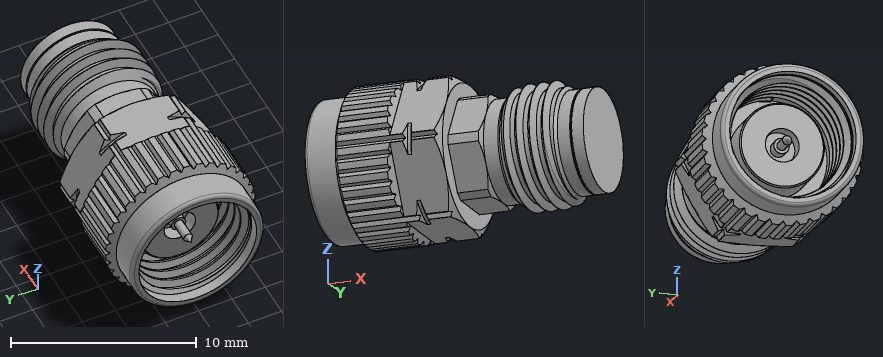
import cadquery as cq
import math


SLEEVE_RADIUS = 4.0
SLEEVE_LENGTH = 1.83
SLEEVE_EDGE_FILLET = 0.2
NUT_RADIUS = 4.5
NUT_LENGTH = 8.06
CHAMFER_DEPTH = 0.5
CHAMFER_ANGLE = 30
CHAMFER_LENGTH = CHAMFER_DEPTH * math.tan(math.radians(CHAMFER_ANGLE))
KNURL_END = 5.2
NUT_FLATS = 2 * SLEEVE_RADIUS
HEX_SIDES = 6
NOTCH_COUNT = 36
NOTCH_DEPTH = 0.2
RING_GROOVE_X = 6.2
RING_GROOVE_DEPTH = 0.3
RING_GROOVE_FLOOR = 0.2
RING_GROOVE_ANGLE = 30
RING_GROOVE_SPREAD = RING_GROOVE_DEPTH * math.tan(math.radians(RING_GROOVE_ANGLE))
RING_GROOVE_MOUTH = RING_GROOVE_FLOOR + 2 * RING_GROOVE_SPREAD

BORE_RADIUS = 3.53
BORE_DEPTH = 0.6
INNER_MINOR_RADIUS = 3.14
INNER_MAJOR_RADIUS = 3.5
INNER_PITCH = 0.735
INNER_THREAD_START = 0.61
CAVITY_DEPTH = 4.6
INNER_GROOVE_WIDTH = 0.62

PLUG_RADIUS = 2.37
PLUG_EDGE_CHAMFER = 0.08
PLUG_FACE_X = 2.2
RECESS_RADIUS = 0.94
RECESS_DEPTH = 0.9
CONTACT_RADIUS = 0.43
CONTACT_FACE_X = 2.35
PIN_RADIUS = 0.26
PIN_TIP_X = 0.8
PIN_TIP_LENGTH = 0.4

BODY_RADIUS = 2.9
TOTAL_LENGTH = 15.8
BODY_HEX_RADIUS = 3.2
BODY_HEX_FLATS = 2 * BODY_RADIUS
BODY_HEX_END = 10.0
BODY_HEX_CHAMFER_DEPTH = BODY_HEX_RADIUS - BODY_RADIUS
BODY_HEX_CHAMFER_LENGTH = BODY_HEX_CHAMFER_DEPTH * math.tan(math.radians(CHAMFER_ANGLE))
LINE_GROOVE_X = 15.06
LINE_GROOVE_WIDTH = 0.1
LINE_GROOVE_DEPTH = 0.1

PITCH = 0.77
THREAD_START = 10.83
THREAD_END = 14.29
THREAD_MAJOR_RADIUS = 3.5
THREAD_ROOT_RADIUS = 3.07
THREAD_ROOT_WIDTH = 0.5
THREAD_CREST_WIDTH = 0.02
THREAD_CREST_X = 11.93
FLANK_ANGLE = 30
OVERLAP = 0.05


def revolved(points):
    """Turn a closed (x, radius) outline about the X axis."""
    return cq.Workplane("XY").polyline(points).close().revolve(360, (0, 0, 0), (1, 0, 0))


def cylinder(radius, start, end):
    return cq.Workplane("YZ", origin=(start, 0, 0)).circle(radius).extrude(end - start)


def hexagon(flats, start, end):
    """Hexagonal bar with corners on +Y and -Y and flats facing +Z and -Z."""
    corner_diameter = flats / math.cos(math.pi / HEX_SIDES)
    return cq.Workplane("YZ", origin=(start, 0, 0)).polygon(HEX_SIDES, corner_diameter).extrude(end - start)


def helical_ridge(pitch, base_radius, tip_radius, base_width, tip_width, start, turns):
    """Right-handed ridge about X whose middle starts on the +Z side at X = start."""
    helix = cq.Wire.makeHelix(pitch, pitch * turns, base_radius)
    profile = [
        (base_radius, -base_width / 2),
        (tip_radius, -tip_width / 2),
        (tip_radius, tip_width / 2),
        (base_radius, base_width / 2),
    ]
    ridge = cq.Workplane("XZ").polyline(profile).close().sweep(cq.Workplane(helix), isFrenet=True)
    along_x = ridge.rotate((0, 0, 0), (0, 1, 0), 90)
    return along_x.rotate((0, 0, 0), (1, 0, 0), 180).translate((start, 0, 0))


def flat_cutter():
    """Stock removed above one nut flat; its wall slopes where it meets the knurled band."""
    flat_height = NUT_FLATS / 2
    top = NUT_RADIUS + OVERLAP
    wall_run = (top - flat_height) * math.tan(math.radians(CHAMFER_ANGLE))
    return (
        cq.Workplane("XZ")
        .polyline([
            (KNURL_END, flat_height),
            (NUT_LENGTH + OVERLAP, flat_height),
            (NUT_LENGTH + OVERLAP, top),
            (KNURL_END - wall_run, top),
        ])
        .close()
        .extrude(NUT_RADIUS, both=True)
    )


def nut_blank():
    """Round sleeve and a larger band whose +X end is milled to a hexagon."""
    sleeve = cylinder(SLEEVE_RADIUS, 0, SLEEVE_LENGTH + CHAMFER_LENGTH)
    sleeve = sleeve.faces("<X").edges().fillet(SLEEVE_EDGE_FILLET)
    band = revolved([
        (SLEEVE_LENGTH, 0),
        (SLEEVE_LENGTH, NUT_RADIUS - CHAMFER_DEPTH),
        (SLEEVE_LENGTH + CHAMFER_LENGTH, NUT_RADIUS),
        (NUT_LENGTH - CHAMFER_LENGTH, NUT_RADIUS),
        (NUT_LENGTH, NUT_RADIUS - CHAMFER_DEPTH),
        (NUT_LENGTH, 0),
    ])
    for side in range(HEX_SIDES):
        band = band.cut(flat_cutter().rotate((0, 0, 0), (1, 0, 0), side * 360 / HEX_SIDES))
    return sleeve.union(band)


def knurl_notches():
    """Right-angled V notches along the nut, one of them on each hexagon corner."""
    reach = NOTCH_DEPTH + OVERLAP
    floor_radius = NUT_RADIUS - NOTCH_DEPTH
    notch = (
        cq.Workplane("YZ", origin=(SLEEVE_LENGTH, 0, 0))
        .polyline([
            (0, floor_radius),
            (reach, floor_radius + reach),
            (-reach, floor_radius + reach),
        ])
        .close()
        .extrude(NUT_LENGTH - SLEEVE_LENGTH)
        .val()
    )
    step = 360 / NOTCH_COUNT
    copies = [notch.rotate((0, 0, 0), (1, 0, 0), i * step) for i in range(NOTCH_COUNT)]
    return cq.Workplane(cq.Compound.makeCompound(copies))


def ring_groove():
    """Tapered groove around the nut; it bites only into the hexagon corners."""
    floor_radius = NUT_RADIUS - RING_GROOVE_DEPTH
    return revolved([
        (RING_GROOVE_X - RING_GROOVE_FLOOR / 2, floor_radius),
        (RING_GROOVE_X - RING_GROOVE_MOUTH / 2, NUT_RADIUS),
        (RING_GROOVE_X - RING_GROOVE_MOUTH / 2, NUT_RADIUS + OVERLAP),
        (RING_GROOVE_X + RING_GROOVE_MOUTH / 2, NUT_RADIUS + OVERLAP),
        (RING_GROOVE_X + RING_GROOVE_MOUTH / 2, NUT_RADIUS),
        (RING_GROOVE_X + RING_GROOVE_FLOOR / 2, floor_radius),
    ])


def nut_cavity():
    """Entry bore, 45 degree lead-in and internally threaded bore."""
    lead_in_end = BORE_DEPTH + BORE_RADIUS - INNER_MINOR_RADIUS
    return revolved([
        (0, 0),
        (0, BORE_RADIUS),
        (BORE_DEPTH, BORE_RADIUS),
        (lead_in_end, INNER_MINOR_RADIUS),
        (CAVITY_DEPTH, INNER_MINOR_RADIUS),
        (CAVITY_DEPTH, 0),
    ])


def inner_thread_groove():
    base_radius = INNER_MINOR_RADIUS - OVERLAP
    widening = 2 * math.tan(math.radians(FLANK_ANGLE))
    base_width = INNER_GROOVE_WIDTH + OVERLAP * widening
    tip_width = base_width - (INNER_MAJOR_RADIUS - base_radius) * widening
    start = INNER_THREAD_START - INNER_PITCH
    turns = math.floor((CAVITY_DEPTH - start - INNER_GROOVE_WIDTH / 2) / INNER_PITCH)
    return helical_ridge(INNER_PITCH, base_radius, INNER_MAJOR_RADIUS, base_width, tip_width, start, turns)


def plug():
    """Plug shell with an annular recess, and the stepped centre contact."""
    edge_radius = PLUG_RADIUS - PLUG_EDGE_CHAMFER
    recess_floor = PLUG_FACE_X + RECESS_DEPTH
    return revolved([
        (PIN_TIP_X, 0),
        (PIN_TIP_X + PIN_TIP_LENGTH, PIN_RADIUS),
        (CONTACT_FACE_X, PIN_RADIUS),
        (CONTACT_FACE_X, CONTACT_RADIUS),
        (recess_floor, CONTACT_RADIUS),
        (recess_floor, RECESS_RADIUS),
        (PLUG_FACE_X, RECESS_RADIUS),
        (PLUG_FACE_X, edge_radius),
        (PLUG_FACE_X + PLUG_EDGE_CHAMFER, PLUG_RADIUS),
        (CAVITY_DEPTH + OVERLAP, PLUG_RADIUS),
        (CAVITY_DEPTH + OVERLAP, 0),
    ])


def body_hexagon():
    hex_start = NUT_LENGTH - OVERLAP
    envelope = revolved([
        (hex_start, 0),
        (hex_start, BODY_HEX_RADIUS),
        (BODY_HEX_END - BODY_HEX_CHAMFER_LENGTH, BODY_HEX_RADIUS),
        (BODY_HEX_END, BODY_RADIUS),
        (BODY_HEX_END, 0),
    ])
    return hexagon(BODY_HEX_FLATS, hex_start, BODY_HEX_END).intersect(envelope)


def outer_thread_blank():
    """Cylinder over the threaded length, with 45 degree ends that run out on the body."""
    chamfer = THREAD_MAJOR_RADIUS - BODY_RADIUS
    return revolved([
        (THREAD_START, 0),
        (THREAD_START, BODY_RADIUS),
        (THREAD_START + chamfer, THREAD_MAJOR_RADIUS),
        (THREAD_END - chamfer, THREAD_MAJOR_RADIUS),
        (THREAD_END, BODY_RADIUS),
        (THREAD_END, 0),
    ])


def outer_thread():
    """Nearly sharp-crested thread, wound past both ends and then trimmed to the blank."""
    base_radius = THREAD_ROOT_RADIUS - OVERLAP
    thread_height = THREAD_MAJOR_RADIUS - THREAD_ROOT_RADIUS
    flank_spread = (THREAD_ROOT_WIDTH - THREAD_CREST_WIDTH) / thread_height
    base_width = THREAD_ROOT_WIDTH + OVERLAP * flank_spread
    lead_turns = math.ceil((THREAD_CREST_X - THREAD_START) / PITCH) + 1
    start = THREAD_CREST_X - lead_turns * PITCH
    turns = math.ceil((THREAD_END - start) / PITCH) + 1
    ridge = helical_ridge(
        PITCH, base_radius, THREAD_MAJOR_RADIUS, base_width, THREAD_CREST_WIDTH, start, turns
    )
    core = cylinder(THREAD_ROOT_RADIUS, start - PITCH, start + (turns + 1) * PITCH)
    return core.union(ridge).intersect(outer_thread_blank())


def jack_body():
    groove_start = LINE_GROOVE_X - LINE_GROOVE_WIDTH / 2
    line_groove = cylinder(BODY_RADIUS, groove_start, groove_start + LINE_GROOVE_WIDTH)
    line_groove = line_groove.cut(cylinder(BODY_RADIUS - LINE_GROOVE_DEPTH, 0, TOTAL_LENGTH))
    barrel = cylinder(BODY_RADIUS, NUT_LENGTH - OVERLAP, TOTAL_LENGTH).cut(line_groove)
    return barrel.union(body_hexagon()).union(outer_thread())


nut = nut_blank().cut(knurl_notches()).cut(ring_groove())
nut = nut.cut(nut_cavity()).cut(inner_thread_groove())
result = nut.union(plug()).union(jack_body())